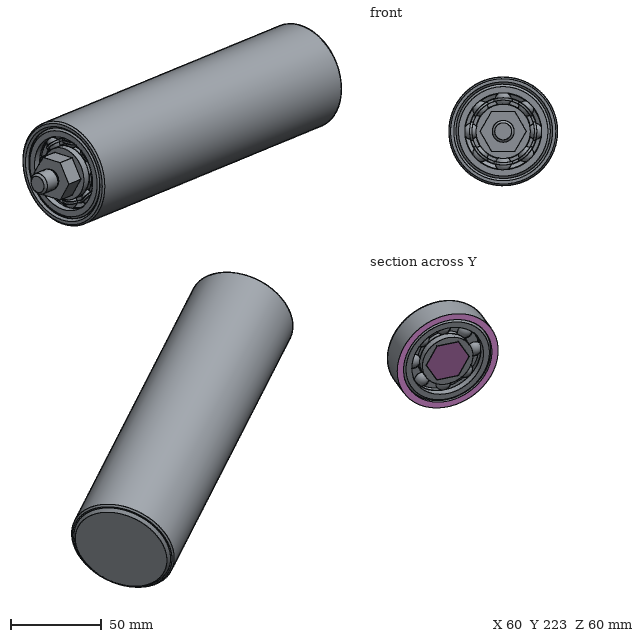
import cadquery as cq
import math


tube_diameter = 60.0
tube_length = 200.0
tube_edge_chamfer = 1.0
bore_diameter = 52.0
mouth_diameter = 54.5
mouth_depth = 1.3
cap_base_diameter = 56.5
cap_end_diameter = 53.5
cap_height = 2.0
cap_plug_length = 4.5

overall_length = 223.0
hex_across_flats = 22.0
hex_protrusion = 9.4
stud_diameter = 12.0
stud_length = overall_length - tube_length - cap_height - hex_protrusion
stud_chamfer = 1.3
neck_root_diameter = 10.7
neck_tip_diameter = 9.4
neck_length = 1.5

bearing_recess = 0.7
bearing_width = 15.0
inner_ring_diameter = 29.9
outer_ring_bore = 42.4
ring_chamfer = 1.3
ball_count = 8
ball_radius = 4.5
bearing_middle = bearing_recess + bearing_width / 2
pitch_radius = (inner_ring_diameter + outer_ring_bore) / 4

web_depth = bearing_middle - 1.0
web_thickness = 1.8
web_outer_radius = 18.7
cage_clearance = 0.2
rim_height = 1.3
band_inner_radius = 17.2
band_outer_radius = 18.5
band_rise = 0.5
bulge_radius = 5.4


def cylinder(diameter, start, end):
    """Solid cylinder on the Y axis between two Y positions."""
    return cq.Workplane("XZ", origin=(0, start, 0)).circle(diameter / 2).extrude(start - end)


def revolve(points):
    """Body of revolution about Y from (radius, y) points."""
    return cq.Workplane("XY").polyline(points).close().revolve(360, (0, 0), (0, 1))


def hex_bar(start, end):
    """Hexagonal bar on the Y axis with corners on the X axis."""
    across_corners = hex_across_flats / math.cos(math.pi / 6)
    return cq.Workplane("XZ", origin=(0, start, 0)).polygon(6, across_corners).extrude(start - end)


def make_tube():
    outside = cylinder(tube_diameter, 0, tube_length).edges().chamfer(tube_edge_chamfer)
    bore = cylinder(bore_diameter, 0, tube_length)
    mouth = revolve([
        (0, 0),
        (mouth_diameter / 2, 0),
        (bore_diameter / 2, mouth_depth),
        (0, mouth_depth),
    ])
    return outside.cut(bore).cut(mouth)


def make_end_cap():
    return revolve([
        (0, tube_length - cap_plug_length),
        (bore_diameter / 2, tube_length - cap_plug_length),
        (bore_diameter / 2, tube_length),
        (cap_base_diameter / 2, tube_length),
        (cap_end_diameter / 2, tube_length + cap_height),
        (0, tube_length + cap_height),
    ])


def make_shaft():
    bar = hex_bar(-hex_protrusion, tube_length - cap_plug_length)
    neck_end = -hex_protrusion - neck_length
    stud_end = -hex_protrusion - stud_length
    stud = revolve([
        (0, -hex_protrusion),
        (neck_root_diameter / 2, -hex_protrusion),
        (neck_tip_diameter / 2, neck_end),
        (stud_diameter / 2, neck_end),
        (stud_diameter / 2, stud_end + stud_chamfer),
        (stud_diameter / 2 - stud_chamfer, stud_end),
        (0, stud_end),
    ])
    return bar.union(stud)


def bearing_blank(diameter):
    return cylinder(diameter, bearing_recess, bearing_recess + bearing_width)


def ball_race():
    """Ring of round section that cuts the ball grooves of both bearing rings."""
    section = cq.Workplane("XY").center(pitch_radius, bearing_middle).circle(ball_radius)
    return section.revolve(360, (-pitch_radius, 0), (-pitch_radius, 1))


def make_outer_ring():
    blank = bearing_blank(bore_diameter).edges().chamfer(ring_chamfer)
    return blank.cut(bearing_blank(outer_ring_bore)).cut(ball_race())


def make_inner_ring():
    hex_hole = hex_bar(bearing_recess, bearing_recess + bearing_width)
    return bearing_blank(inner_ring_diameter).cut(hex_hole).cut(ball_race())


def band(start, end):
    """Cylindrical cage band between two Y positions."""
    return cylinder(2 * band_outer_radius, start, end).cut(cylinder(2 * band_inner_radius, start, end))


def sphere_at_pitch(radius):
    """Sphere centred on the ball circle, on the X axis side."""
    return cq.Workplane("XY").sphere(radius).translate((pitch_radius, bearing_middle, 0))


def make_ball_cage():
    web_inner_radius = inner_ring_diameter / 2 + cage_clearance
    rim_radius = outer_ring_bore / 2 - cage_clearance
    web_back = web_depth + web_thickness
    web = revolve([
        (web_inner_radius, web_depth),
        (web_outer_radius, web_depth),
        (rim_radius, web_depth - rim_height),
        (rim_radius, web_back),
        (web_inner_radius, web_back),
    ])
    bulge = band(0, bearing_middle).intersect(sphere_at_pitch(bulge_radius))
    pocket = bulge.union(sphere_at_pitch(ball_radius))
    cage = web.union(band(web_depth - band_rise, web_back))
    for i in range(ball_count):
        cage = cage.union(pocket.rotate((0, 0, 0), (0, 1, 0), i * 360 / ball_count))
    return cage


tube = make_tube()
end_cap = make_end_cap()
shaft = make_shaft()
outer_ring = make_outer_ring()
inner_ring = make_inner_ring()
ball_cage = make_ball_cage()

result = cq.Compound.makeCompound([
    tube.val(),
    end_cap.val(),
    shaft.val(),
    outer_ring.val(),
    inner_ring.val(),
    ball_cage.val(),
])